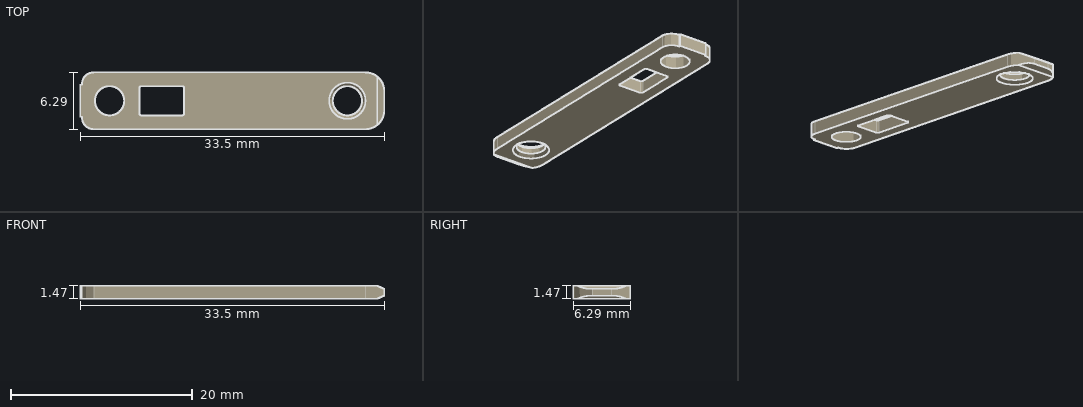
import cadquery as cq
import math

length = 33.53
width = 6.29
thickness = 1.47

tab_depth = 0.2
tab_width = 3.57
left_corner_radius = 1.3

right_corner_radius = 2.1
taper_length = 0.8
taper_drop = 0.37

hole_diameter = 3.2
left_hole_inset = 3.25
right_hole_inset = 4.08
countersink_diameter = 4.0
countersink_angle = 90

window_inset = 6.55
window_length = 4.9
window_width = 3.2
window_corner_radius = 0.2

left_end = -length / 2
right_end = length / 2
left_shoulder = left_end + tab_depth
top_face = thickness / 2
left_hole_x = left_end + left_hole_inset
right_hole_x = right_end - right_hole_inset
window_x = left_end + window_inset + window_length / 2


def make_strip():
    """Flat strip with rounded corners and the tab on its left end."""
    body_length = right_end - left_shoulder
    body = (
        cq.Workplane("XY")
        .box(body_length, width, thickness)
        .translate(((left_shoulder + right_end) / 2, 0, 0))
    )
    body = body.edges("|Z and <X").fillet(left_corner_radius)
    body = body.edges("|Z and >X").fillet(right_corner_radius)

    tab_length = 2 * tab_depth
    tab = (
        cq.Workplane("XY")
        .box(tab_length, tab_width, thickness)
        .translate((left_end + tab_length / 2, 0, 0))
    )
    return body.union(tab)


def make_taper_cutter(side):
    """Wedge that slopes the right end; side is +1 for the top, -1 for the bottom."""
    face_z = side * top_face
    return (
        cq.Workplane("XZ")
        .moveTo(right_end - taper_length, face_z)
        .lineTo(right_end, face_z)
        .lineTo(right_end, face_z - side * taper_drop)
        .close()
        .extrude(width / 2, both=True)
    )


def make_hole_cutter(hole_x):
    """Plain round hole through the full thickness."""
    bottom = cq.Workplane("XY", origin=(hole_x, 0, -top_face))
    return bottom.circle(hole_diameter / 2).extrude(thickness)


def make_countersunk_hole_cutter(hole_x):
    """Round through-hole with the same countersink on the top and bottom faces."""
    hole_radius = hole_diameter / 2
    cone_radius = countersink_diameter / 2
    cone_depth = (cone_radius - hole_radius) / math.tan(math.radians(countersink_angle / 2))
    profile = (
        cq.Workplane("XZ", origin=(hole_x, 0, 0))
        .moveTo(0, -top_face)
        .lineTo(cone_radius, -top_face)
        .lineTo(hole_radius, cone_depth - top_face)
        .lineTo(hole_radius, top_face - cone_depth)
        .lineTo(cone_radius, top_face)
        .lineTo(0, top_face)
        .close()
    )
    return profile.revolve(360, (0, 0), (0, 1))


def make_window_cutter():
    """Rectangular through-window with small corner radii."""
    window = cq.Workplane("XY").box(window_length, window_width, thickness)
    return window.edges("|Z").fillet(window_corner_radius).translate((window_x, 0, 0))


result = make_strip()
for side in (1, -1):
    result = result.cut(make_taper_cutter(side))
result = result.cut(make_hole_cutter(left_hole_x))
result = result.cut(make_countersunk_hole_cutter(right_hole_x))
result = result.cut(make_window_cutter())